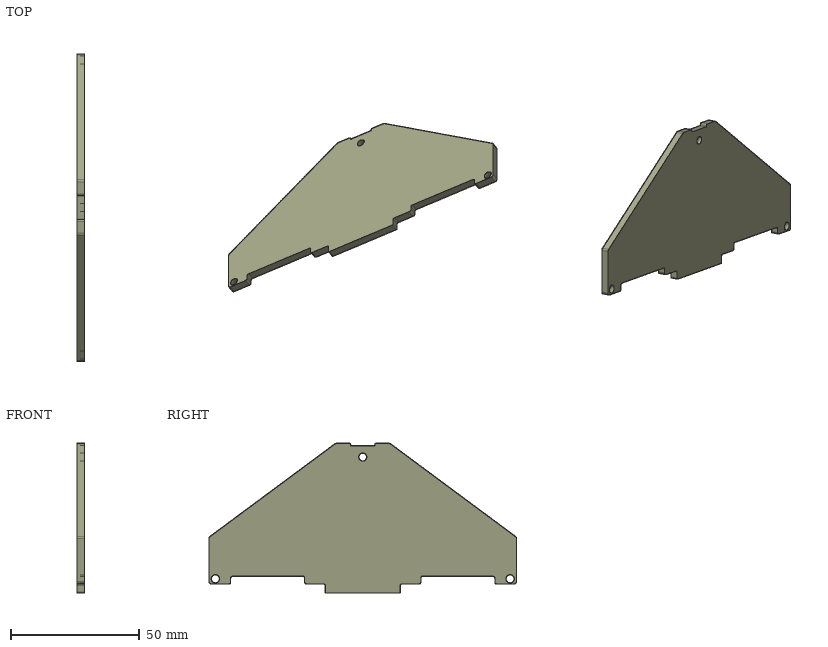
import cadquery as cq

thickness = 3.0
width = 120.0
height = 58.5
half_width = width / 2
bottom = -height / 2
top = height / 2

side_top = bottom + 21.8
top_half_width = 10.5

notch_half_width = 4.7
notch_floor = top - 1.0

tongue_half_width = 14.7
step_half_width = 22.8
foot_half_span = 51.5
foot_bottom = bottom + 3.5
recess_ceiling = bottom + 6.5

top_hole_diameter = 3.0
foot_hole_diameter = 3.1
foot_hole_offset = 57.5
foot_hole_height = bottom + 5.55
top_hole_height = top - 5.45

shoulder_radius = 1.8
side_radius = 1.0
foot_radius = 0.75
outer_radius = 1.0
small_radius = 0.5
notch_edge_radius = 0.65
notch_floor_radius = 0.3

half_corners = [
    (notch_half_width, notch_floor, notch_floor_radius),
    (notch_half_width, top, notch_edge_radius),
    (top_half_width, top, shoulder_radius),
    (half_width, side_top, side_radius),
    (half_width, foot_bottom, outer_radius),
    (foot_half_span, foot_bottom, foot_radius),
    (foot_half_span, recess_ceiling, foot_radius),
    (step_half_width, recess_ceiling, small_radius),
    (step_half_width, foot_bottom, outer_radius),
    (tongue_half_width, foot_bottom, small_radius),
    (tongue_half_width, bottom, small_radius),
]


def mirrored(corners):
    """Return the corners reflected to the other side of the plate, in reverse order."""
    return [(-y, z, radius) for y, z, radius in reversed(corners)]


def make_plate(corners):
    """Extrude the outline through the thickness, then round each of its corners."""
    points = [(y, z) for y, z, _ in corners]
    plate = (
        cq.Workplane("YZ")
        .polyline(points)
        .close()
        .extrude(thickness / 2, both=True)
    )
    for y, z, radius in corners:
        corner_edge = cq.selectors.NearestToPointSelector((0, y, z))
        plate = plate.edges("|X").edges(corner_edge).fillet(radius)
    return plate


def make_pins(centres, diameter):
    """Pins along X that cut through holes at the given (y, z) centres."""
    return (
        cq.Workplane("YZ")
        .pushPoints(centres)
        .circle(diameter / 2)
        .extrude(thickness, both=True)
    )


plate = make_plate(half_corners + mirrored(half_corners))
top_pin = make_pins([(0, top_hole_height)], top_hole_diameter)
foot_pins = make_pins(
    [(side * foot_hole_offset, foot_hole_height) for side in (-1, 1)],
    foot_hole_diameter,
)
result = plate.cut(top_pin).cut(foot_pins)